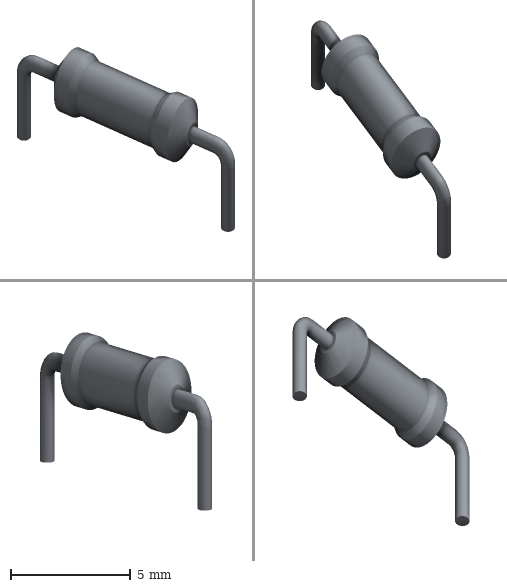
import cadquery as cq

overall_length = 10.81
overall_height = 6.03
rim_radius = 1.205
z_stretch = 4 / 3

barrel_half_length = 1.84
rim_inner_x = 2.16
rim_outer_x = 2.82
body_half_length = 3.32
barrel_radius = 1.04
end_face_radius = 0.45

lead_radius = 0.3
bend_radius = 0.6
lead_x = overall_length / 2 - lead_radius
bend_start_x = lead_x - bend_radius
lead_drop = overall_height / z_stretch - rim_radius


def make_body():
    """Revolve the barrel and its two flared end caps around X."""
    right_profile = [
        (barrel_half_length, barrel_radius),
        (rim_inner_x, rim_radius),
        (rim_outer_x, rim_radius),
        (body_half_length, end_face_radius),
        (body_half_length, 0),
    ]
    left_profile = [(-x, radius) for x, radius in reversed(right_profile)]
    profile = cq.Workplane("XZ").polyline(left_profile + right_profile).close()
    return profile.revolve(360, (0, 0, 0), (1, 0, 0))


def make_lead():
    """Make the +X lead: a run along X, a quarter bend and a leg going down."""
    run = cq.Workplane("YZ").circle(lead_radius).extrude(bend_start_x)
    bend = (
        cq.Workplane("YZ", origin=(bend_start_x, 0, 0))
        .circle(lead_radius)
        .revolve(90, (0, -bend_radius, 0), (1, -bend_radius, 0))
    )
    leg = (
        cq.Workplane("XY", origin=(lead_x, 0, -lead_drop))
        .circle(lead_radius)
        .extrude(lead_drop - bend_radius)
    )
    return run.union(bend).union(leg)


lead = make_lead()
round_part = make_body().union(lead).union(lead.mirror("YZ"))

stretch = cq.Matrix([
    [1, 0, 0, 0],
    [0, 1, 0, 0],
    [0, 0, z_stretch, 0],
])
result = cq.Workplane(round_part.val().transformGeometry(stretch))